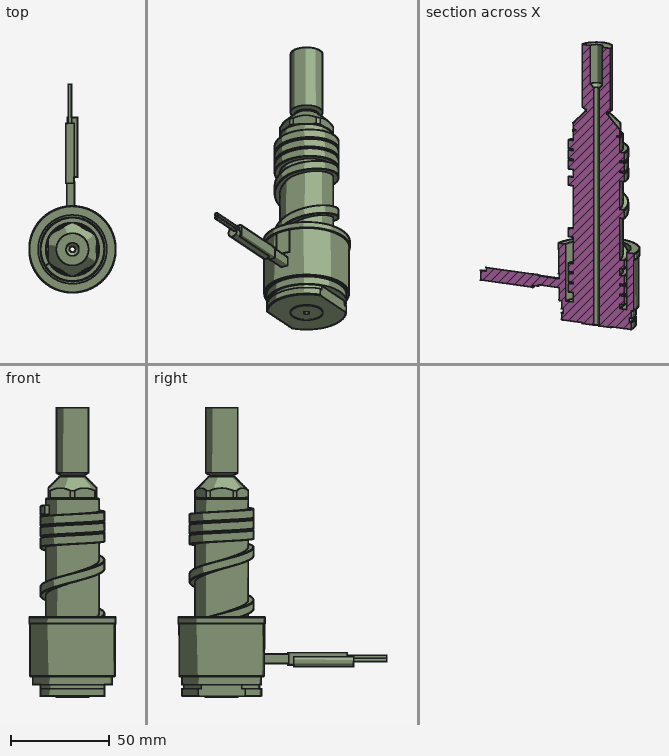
import cadquery as cq
import math


SPIGOT_R = 8.2
SPIGOT_H = 0.45
PLUG_R = 20.15
PLUG_CHAMFER = 0.4
GROOVE_R = 19.2
GROOVE_BOTTOM_Z = 4.2
GROOVE_TOP_Z = 6.4
FLAT_SPACING = 32.5
HOUSING_BOTTOM_Z = 10.4

HOUSING_R = 21.55
HOUSING_TOP_Z = 40.6
HOUSING_CHAMFER = 0.5
RIM_R = 22.0
RIM_H = 3.5
RIM_CHAMFER = 0.3
BORE_R = 17.4
PAD_R = 21.95
PAD_WIDTH = 8.0
PAD_BOTTOM_Z = 24.5

TUBE_R = 13.55
TUBE_TOP_Z = 100.5
TUBE_CHAMFER = 0.4
COLLAR_R = 12.0
NUT_BOTTOM_Z = 100.9
NUT_ACROSS_FLATS = 24.5
NUT_CORNER_R = TUBE_R
NUT_CONE_TOP_Z = 111.5
NUT_CONE_TOP_R = 6.5
NUT_CONE_H = NUT_CORNER_R - NUT_CONE_TOP_R

NECK_R = 6.1
NECK_TOP_Z = 112.3
STEM_R = 8.15
STEM_SHOULDER_R = 7.4
STEM_SHOULDER_Z = 112.9
STEM_BOTTOM_Z = 113.5
TOP_Z = 146.3
SOCKET_R = 3.3
SOCKET_DEPTH = 20.0
PASSAGE_R = 1.4

SPRING_OUTER_R = 16.27
SPRING_INNER_R = TUBE_R - 0.2
SPRING_WIRE_H = 4.7
SPRING_EDGE_BEVEL = 0.3
SPRING_TOP_ANGLE = 211.1
SPRING_TOP_Z = 94.75
CLOSED_PITCH = 5.33
OPEN_PITCH = 26.9
CLOSED_TURNS = 3.04
BLEND_TURNS = 0.3
OPEN_TURNS = 1.45
SPRING_END_CLEARANCE = 0.5
BLEND_PITCH = (CLOSED_PITCH + OPEN_PITCH) / 2
SPRING_DROP = 2 * CLOSED_TURNS * CLOSED_PITCH + 2 * BLEND_TURNS * BLEND_PITCH + OPEN_TURNS * OPEN_PITCH
BORE_FLOOR_Z = SPRING_TOP_Z - SPRING_DROP - SPRING_WIRE_H / 2 - SPRING_END_CLEARANCE

CABLE_START_Y = 20.0
CABLE_END_Y = 34.0
CABLE_X = -0.95
CABLE_Z = 19.5
CABLE_WIDTH = 4.1
CABLE_H = 4.9
CABLE_CORNER = 0.5
SLEEVE_START_Y = 33.4
SLEEVE_END_Y = 63.6
SLEEVE_X = -1.32
SLEEVE_Z = 19.35
SLEEVE_WIDTH = 4.35
SLEEVE_H = 6.3
SLEEVE_CORNER = 1.2
FUSE_START_Y = 36.5
FUSE_END_Y = 66.7
FUSE_X = 0.03
FUSE_Z = 17.9
FUSE_R = 2.6
LEAD_START_Y = 60.0
LEAD_END_Y = 83.5
LEAD_X = -1.32
LEAD_Z = 19.6
LEAD_R = 0.85
LEAD_SPACING = 1.65


def cylinder(radius, bottom, top):
    return cq.Workplane("XY").workplane(offset=bottom).circle(radius).extrude(top - bottom)


def make_plug():
    disc = cylinder(PLUG_R, SPIGOT_H, GROOVE_BOTTOM_Z).faces("<Z").chamfer(PLUG_CHAMFER)
    foot = disc.union(cylinder(GROOVE_R, GROOVE_BOTTOM_Z, GROOVE_TOP_Z))
    flats = cq.Workplane("XY").box(FLAT_SPACING, 2 * RIM_R, GROOVE_TOP_Z, centered=(True, True, False))
    foot = foot.intersect(flats)
    return foot.union(cylinder(SPIGOT_R, 0, SPIGOT_H)).union(cylinder(PLUG_R, GROOVE_TOP_Z, HOUSING_BOTTOM_Z))


def make_housing():
    rim_bottom = HOUSING_TOP_Z - RIM_H
    barrel = cylinder(HOUSING_R, HOUSING_BOTTOM_Z, rim_bottom).faces("<Z").chamfer(HOUSING_CHAMFER)
    rim = cylinder(RIM_R, rim_bottom, HOUSING_TOP_Z).edges().chamfer(RIM_CHAMFER)
    pad_h = rim_bottom - PAD_BOTTOM_Z
    pad_strip = cq.Workplane("XY").box(PAD_WIDTH, RIM_R, pad_h, centered=(True, False, False))
    pad = cylinder(PAD_R, PAD_BOTTOM_Z, rim_bottom).intersect(pad_strip.translate((0, 0, PAD_BOTTOM_Z)))
    return barrel.union(rim).union(pad).cut(cylinder(BORE_R, BORE_FLOOR_Z, HOUSING_TOP_Z))


def make_tube():
    tube = cylinder(TUBE_R, HOUSING_BOTTOM_Z, TUBE_TOP_Z).faces(">Z").chamfer(TUBE_CHAMFER)
    return tube.union(cylinder(COLLAR_R, TUBE_TOP_Z, NUT_BOTTOM_Z))


def make_nut():
    profile = (
        cq.Workplane("XZ")
        .moveTo(0, NUT_BOTTOM_Z)
        .lineTo(NUT_CORNER_R, NUT_BOTTOM_Z)
        .lineTo(NUT_CORNER_R, NUT_CONE_TOP_Z - NUT_CONE_H)
        .lineTo(NUT_CONE_TOP_R, NUT_CONE_TOP_Z)
        .lineTo(0, NUT_CONE_TOP_Z)
        .close()
    )
    corner_diameter = NUT_ACROSS_FLATS / math.cos(math.pi / 6)
    hexagon = (
        cq.Workplane("XY")
        .workplane(offset=NUT_BOTTOM_Z)
        .transformed(rotate=(0, 0, 30))
        .polygon(6, corner_diameter)
        .extrude(NUT_CONE_TOP_Z - NUT_BOTTOM_Z)
    )
    return profile.revolve().intersect(hexagon)


def make_stem():
    return (
        cq.Workplane("XZ")
        .moveTo(0, NUT_CONE_TOP_Z)
        .lineTo(NECK_R, NUT_CONE_TOP_Z)
        .lineTo(NECK_R, NECK_TOP_Z)
        .lineTo(STEM_SHOULDER_R, STEM_SHOULDER_Z)
        .lineTo(STEM_R, STEM_BOTTOM_Z)
        .lineTo(STEM_R, TOP_Z)
        .lineTo(0, TOP_Z)
        .close()
        .revolve()
    )


def make_passage():
    """Stepped axial hole: socket, 45 degree cone, then a narrow hole to the underside."""
    socket_floor = TOP_Z - SOCKET_DEPTH
    return (
        cq.Workplane("XZ")
        .lineTo(PASSAGE_R, 0)
        .lineTo(PASSAGE_R, socket_floor - (SOCKET_R - PASSAGE_R))
        .lineTo(SOCKET_R, socket_floor)
        .lineTo(SOCKET_R, TOP_Z)
        .lineTo(0, TOP_Z)
        .close()
        .revolve()
    )


def make_coil(pitch, turns, top_angle, top_z):
    """Flat-wire coil of constant pitch whose upper end lies at the given angle and height."""
    drop = pitch * turns
    half_h = SPRING_WIRE_H / 2
    bevel_r = SPRING_OUTER_R - SPRING_EDGE_BEVEL
    bevel_z = half_h - SPRING_EDGE_BEVEL
    section = (
        cq.Workplane("XZ")
        .moveTo(SPRING_INNER_R, -half_h)
        .lineTo(bevel_r, -half_h)
        .lineTo(SPRING_OUTER_R, -bevel_z)
        .lineTo(SPRING_OUTER_R, bevel_z)
        .lineTo(bevel_r, half_h)
        .lineTo(SPRING_INNER_R, half_h)
        .close()
    )
    path = cq.Wire.makeHelix(pitch, drop, SPRING_OUTER_R)
    coil = section.sweep(cq.Workplane(path), isFrenet=True)
    return coil.rotate((0, 0, 0), (0, 0, 1), top_angle - 360 * turns).translate((0, 0, top_z - drop))


def make_spring_coils():
    sections = [
        (CLOSED_PITCH, CLOSED_TURNS),
        (BLEND_PITCH, BLEND_TURNS),
        (OPEN_PITCH, OPEN_TURNS),
        (BLEND_PITCH, BLEND_TURNS),
        (CLOSED_PITCH, CLOSED_TURNS),
    ]
    coils = []
    angle = SPRING_TOP_ANGLE
    z = SPRING_TOP_Z
    for pitch, turns in sections:
        coils.append(make_coil(pitch, turns, angle, z))
        angle -= 360 * turns
        z -= pitch * turns
    return coils


def along_y(x, z, start, end):
    """Workplane at the start of a run in +Y, with the run's length."""
    plane = cq.Plane(origin=(x, start, z), xDir=(-1, 0, 0), normal=(0, 1, 0))
    return cq.Workplane(plane), end - start


def rounded_bar(x, z, width, height, corner, start, end):
    plane, length = along_y(x, z, start, end)
    return plane.rect(width, height).extrude(length).edges("|Y").fillet(corner)


def round_bar(x, z, radius, start, end):
    plane, length = along_y(x, z, start, end)
    return plane.circle(radius).extrude(length)


def make_cable():
    cable = rounded_bar(CABLE_X, CABLE_Z, CABLE_WIDTH, CABLE_H, CABLE_CORNER, CABLE_START_Y, CABLE_END_Y)
    sleeve = rounded_bar(
        SLEEVE_X, SLEEVE_Z, SLEEVE_WIDTH, SLEEVE_H, SLEEVE_CORNER, SLEEVE_START_Y, SLEEVE_END_Y
    )
    cable = cable.union(sleeve).union(round_bar(FUSE_X, FUSE_Z, FUSE_R, FUSE_START_Y, FUSE_END_Y))
    for side in (-1, 1):
        lead_z = LEAD_Z + side * LEAD_SPACING / 2
        cable = cable.union(round_bar(LEAD_X, lead_z, LEAD_R, LEAD_START_Y, LEAD_END_Y))
    return cable


result = make_plug().union(make_housing()).union(make_tube()).union(make_nut()).union(make_stem())
result = result.cut(make_passage()).union(make_cable())
for coil in make_spring_coils():
    result = result.union(coil)